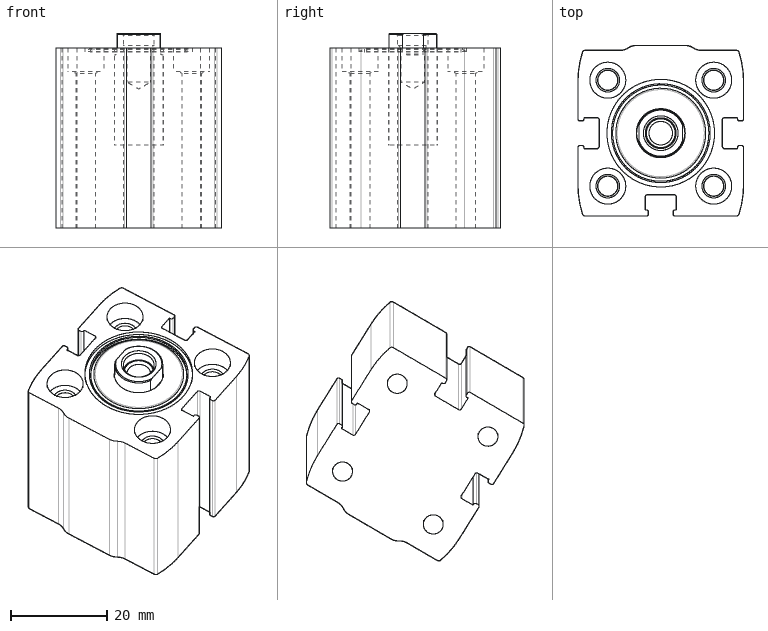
import cadquery as cq
import math

TOTAL_HEIGHT = 40.5
ROD_STICKOUT = 3.0
HOUSING_TOP = TOTAL_HEIGHT - ROD_STICKOUT

HALF_WIDTH = 17.25
BULGE_HEIGHT = 1.0
BULGE_HALF_FLAT = 5.1
BULGE_HALF_FOOT = 8.42
SIDE_HALF_FLAT = 10.75
SIDE_SWEEP_RADIUS = 20.0
CORNER_RADIUS = 0.6

SLOT_WIDTH = 6.4
SLOT_OPENING = 5.1
SLOT_DEPTH = 4.4
SLOT_LIP = 1.3
SLOT_RADIUS = 0.4

HOLE_OFFSET = 11.0
HOLE_DIAMETER = 4.15
HOLE_COUNTERBORE = 7.5
HOLE_COUNTERBORE_DEPTH = 5.0
HOLE_CHAMFER_DIAMETER = 4.9

RECESS_RADIUS = 22.4 / 2
RECESS_DEPTH = 0.8
LIP_OUTER_RADIUS = 10.3
LIP_INNER_RADIUS = 20.0 / 2
LIP_OUTER_DEPTH = 0.3
LIP_INNER_DEPTH = 0.32
GROOVE_DEPTH = 0.9
SHOULDER_RADIUS = 9.35
SHOULDER_DEPTH = 0.32
FACE_RADIUS = 9.07
FACE_DEPTH = 0.25

ROD_DIAMETER = 10.0
ROD_CHAMFER = 0.2
ROD_BORE_DIAMETER = 10.2
ROD_EMBEDDED_LENGTH = 20.25
FLAT_ACROSS = 9.0
FLAT_LENGTH = 4.25
FLAT_RUNOUT_TILT = 30.0

SOCKET_DIAMETER = 6.4
SOCKET_MOUTH_DIAMETER = 7.2
SOCKET_DEPTH = 2.5
THREAD_MOUTH_DIAMETER = 6.0
THREAD_DIAMETER = 4.9
THREAD_DEPTH = 10.12
DRILL_POINT_ANGLE = 118.0


def side_sweep(edge):
    """X drop of the tangent side arc where it reaches the given distance along Y."""
    run = edge - SIDE_HALF_FLAT
    return SIDE_SWEEP_RADIUS - math.sqrt(SIDE_SWEEP_RADIUS**2 - run**2)


def housing_block():
    """Plain block with curved sides, rounded corners and the raised pad on +Y."""
    half_run = (HALF_WIDTH - SIDE_HALF_FLAT) / 2
    mid_y = SIDE_HALF_FLAT + half_run
    mid_x = HALF_WIDTH - side_sweep(mid_y)
    corner_x = HALF_WIDTH - side_sweep(HALF_WIDTH)
    pad_y = HALF_WIDTH + BULGE_HEIGHT
    inflection = ((BULGE_HALF_FLAT + BULGE_HALF_FOOT) / 2, HALF_WIDTH + BULGE_HEIGHT / 2)
    outline = (
        cq.Workplane("XY")
        .moveTo(-corner_x, -HALF_WIDTH)
        .lineTo(corner_x, -HALF_WIDTH)
        .threePointArc((mid_x, -mid_y), (HALF_WIDTH, -SIDE_HALF_FLAT))
        .lineTo(HALF_WIDTH, SIDE_HALF_FLAT)
        .threePointArc((mid_x, mid_y), (corner_x, HALF_WIDTH))
        .lineTo(BULGE_HALF_FOOT, HALF_WIDTH)
        .tangentArcPoint(inflection, relative=False)
        .tangentArcPoint((BULGE_HALF_FLAT, pad_y), relative=False)
        .lineTo(-BULGE_HALF_FLAT, pad_y)
        .tangentArcPoint((-inflection[0], inflection[1]), relative=False)
        .tangentArcPoint((-BULGE_HALF_FOOT, HALF_WIDTH), relative=False)
        .lineTo(-corner_x, HALF_WIDTH)
        .threePointArc((-mid_x, mid_y), (-HALF_WIDTH, SIDE_HALF_FLAT))
        .lineTo(-HALF_WIDTH, -SIDE_HALF_FLAT)
        .threePointArc((-mid_x, -mid_y), (-corner_x, -HALF_WIDTH))
        .close()
    )
    block = outline.extrude(HOUSING_TOP)
    for x in (-corner_x, corner_x):
        for y in (-HALF_WIDTH, HALF_WIDTH):
            corner = cq.selectors.NearestToPointSelector((x, y, HOUSING_TOP / 2))
            block = block.edges("|Z").edges(corner).fillet(CORNER_RADIUS)
    return block


def t_slot():
    """T-slot cutter in the -Y side, with rounded floor corners and lips."""
    r = SLOT_RADIUS
    neck = SLOT_OPENING / 2
    face = -HALF_WIDTH
    lip = face + SLOT_LIP
    floor = face + SLOT_DEPTH
    wide = SLOT_WIDTH / 2
    return (
        cq.Workplane("XY")
        .moveTo(-neck - r, face)
        .radiusArc((-neck, face + r), -r)
        .lineTo(-neck, lip - r)
        .radiusArc((-neck - r, lip), -r)
        .lineTo(-wide, lip)
        .lineTo(-wide, floor - r)
        .radiusArc((-wide + r, floor), r)
        .lineTo(wide - r, floor)
        .radiusArc((wide, floor - r), r)
        .lineTo(wide, lip)
        .lineTo(neck + r, lip)
        .radiusArc((neck, lip - r), -r)
        .lineTo(neck, face + r)
        .radiusArc((neck + r, face), -r)
        .close()
        .extrude(HOUSING_TOP)
    )


def mounting_hole():
    """Cutter for one through hole: counterbore, chamfer, plain bore."""
    chamfer = (HOLE_CHAMFER_DIAMETER - HOLE_DIAMETER) / 2
    seat = HOUSING_TOP - HOLE_COUNTERBORE_DEPTH
    return (
        cq.Workplane("XZ")
        .moveTo(0, 0)
        .lineTo(HOLE_DIAMETER / 2, 0)
        .lineTo(HOLE_DIAMETER / 2, seat - chamfer)
        .lineTo(HOLE_CHAMFER_DIAMETER / 2, seat)
        .lineTo(HOLE_COUNTERBORE / 2, seat)
        .lineTo(HOLE_COUNTERBORE / 2, HOUSING_TOP)
        .lineTo(0, HOUSING_TOP)
        .close()
        .revolve(360, (0, 0, 0), (0, 1, 0))
    )


def bearing_recess():
    """Cutter that leaves the sunken bearing face, its conical edge and the raised lip around it."""
    return (
        cq.Workplane("XZ")
        .moveTo(0, HOUSING_TOP)
        .lineTo(0, HOUSING_TOP - FACE_DEPTH)
        .lineTo(FACE_RADIUS, HOUSING_TOP - FACE_DEPTH)
        .lineTo(SHOULDER_RADIUS, HOUSING_TOP - SHOULDER_DEPTH)
        .lineTo(LIP_INNER_RADIUS, HOUSING_TOP - GROOVE_DEPTH)
        .lineTo(LIP_INNER_RADIUS, HOUSING_TOP - LIP_INNER_DEPTH)
        .lineTo(LIP_OUTER_RADIUS, HOUSING_TOP - LIP_OUTER_DEPTH)
        .lineTo(RECESS_RADIUS, HOUSING_TOP - RECESS_DEPTH)
        .lineTo(RECESS_RADIUS, HOUSING_TOP)
        .close()
        .revolve(360, (0, 0, 0), (0, 1, 0))
    )


def rod_bore():
    """Blind bore for the rod, slightly wider than the rod."""
    return (
        cq.Workplane("XY", origin=(0, 0, HOUSING_TOP - ROD_EMBEDDED_LENGTH))
        .circle(ROD_BORE_DIAMETER / 2)
        .extrude(ROD_EMBEDDED_LENGTH)
    )


def make_housing():
    """Housing with three T-slots, four mounting holes, the bearing face and the rod bore."""
    body = housing_block()
    for turn in (-90, 0, 90):
        body = body.cut(t_slot().rotate((0, 0, 0), (0, 0, 1), turn))
    for x in (-HOLE_OFFSET, HOLE_OFFSET):
        for y in (-HOLE_OFFSET, HOLE_OFFSET):
            body = body.cut(mounting_hole().translate((x, y, 0)))
    return body.cut(bearing_recess()).cut(rod_bore())


def threaded_hole():
    """Cutter for the rod end: chamfered socket, thread lead-in, core hole, drill point."""
    mouth_chamfer = (SOCKET_MOUTH_DIAMETER - SOCKET_DIAMETER) / 2
    lead_in = (THREAD_MOUTH_DIAMETER - THREAD_DIAMETER) / 2
    drill_point = THREAD_DIAMETER / 2 / math.tan(math.radians(DRILL_POINT_ANGLE / 2))
    socket_floor = TOTAL_HEIGHT - SOCKET_DEPTH
    thread_end = TOTAL_HEIGHT - THREAD_DEPTH
    return (
        cq.Workplane("XZ")
        .moveTo(0, TOTAL_HEIGHT)
        .lineTo(SOCKET_MOUTH_DIAMETER / 2, TOTAL_HEIGHT)
        .lineTo(SOCKET_DIAMETER / 2, TOTAL_HEIGHT - mouth_chamfer)
        .lineTo(SOCKET_DIAMETER / 2, socket_floor)
        .lineTo(THREAD_MOUTH_DIAMETER / 2, socket_floor)
        .lineTo(THREAD_DIAMETER / 2, socket_floor - lead_in)
        .lineTo(THREAD_DIAMETER / 2, thread_end)
        .lineTo(0, thread_end - drill_point)
        .close()
        .revolve(360, (0, 0, 0), (0, 1, 0))
    )


def wrench_flat():
    """Cutter for the flat on the -X side of the rod, ending in a sloped run-out."""
    flat_x = -FLAT_ACROSS / 2
    outside_x = -ROD_DIAMETER / 2
    flat_end = TOTAL_HEIGHT - FLAT_LENGTH
    runout = (flat_x - outside_x) * math.tan(math.radians(FLAT_RUNOUT_TILT))
    return (
        cq.Workplane("XZ")
        .moveTo(flat_x, TOTAL_HEIGHT)
        .lineTo(flat_x, flat_end)
        .lineTo(outside_x, flat_end - runout)
        .lineTo(outside_x, TOTAL_HEIGHT)
        .close()
        .extrude(ROD_DIAMETER / 2, both=True)
    )


def make_rod():
    """Round rod with two wrench flats and a threaded end."""
    rod = (
        cq.Workplane("XY", origin=(0, 0, HOUSING_TOP - ROD_EMBEDDED_LENGTH))
        .circle(ROD_DIAMETER / 2)
        .extrude(ROD_EMBEDDED_LENGTH + ROD_STICKOUT)
        .faces(">Z")
        .chamfer(ROD_CHAMFER)
    )
    for turn in (0, 180):
        rod = rod.cut(wrench_flat().rotate((0, 0, 0), (0, 0, 1), turn))
    return rod.cut(threaded_hole())


housing = make_housing()
rod = make_rod()

result = cq.Compound.makeCompound([housing.val(), rod.val()])